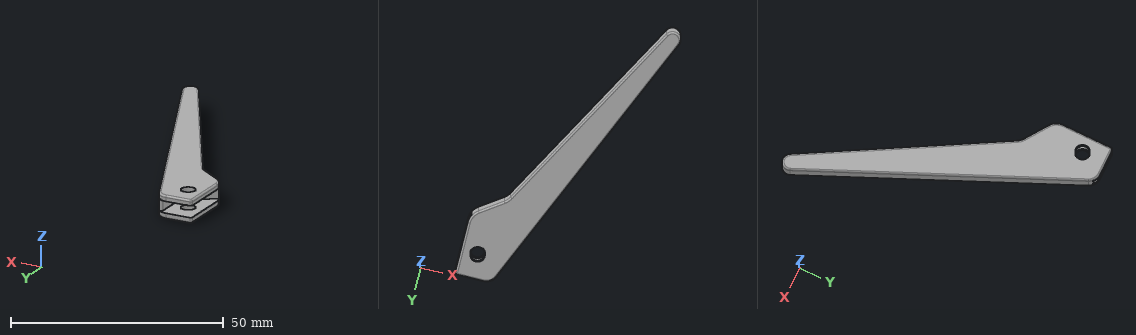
import cadquery as cq
import math

length = 68.75
width = 38.1
thickness = 6.0
edge_radius = 0.5

head_corner = (0.0, 0.0)
shoulder = (8.9, 0.0)
heel = (0.0, -14.9)
neck = (7.8, -20.35)
shoulder_radius = 3.0
heel_radius = 4.0
neck_radius = 4.0

nose_radius = 2.0
nose_center = (width - nose_radius, nose_radius - length)

pivot = (4.05, -6.0)
pivot_diameter = 3.5

slot_height = 2.95
slot_depth = 8.25
slot_mouth = (0.5, -14.65)
slot_wall_angle = 35.0
slot_corner_radius = 2.0
slot_overrun = 3.45


def nose_tangent(point, side):
    """Touching point on the nose of a line from point; side is 1 (right) or -1 (left)."""
    dx = point[0] - nose_center[0]
    dy = point[1] - nose_center[1]
    turn = math.acos(nose_radius / math.hypot(dx, dy))
    angle = math.atan2(dy, dx) - side * turn
    return (
        nose_center[0] + nose_radius * math.cos(angle),
        nose_center[1] + nose_radius * math.sin(angle),
    )


def round_upright(body, corner, radius):
    """Round the vertical edge nearest to a corner of the outline."""
    nearest = cq.selectors.NearestToPointSelector((corner[0], corner[1], 0))
    return body.edges("|Z").edges(nearest).fillet(radius)


def make_lever():
    right_end = nose_tangent(shoulder, 1)
    left_end = nose_tangent(neck, -1)
    lean = math.atan2(left_end[1] + right_end[1] - 2 * nose_center[1],
                      left_end[0] + right_end[0] - 2 * nose_center[0])
    nose_tip = (
        nose_center[0] + nose_radius * math.cos(lean),
        nose_center[1] + nose_radius * math.sin(lean),
    )
    body = (
        cq.Workplane("XY")
        .moveTo(*head_corner)
        .lineTo(*shoulder)
        .lineTo(*right_end)
        .threePointArc(nose_tip, left_end)
        .lineTo(*neck)
        .lineTo(*heel)
        .close()
        .extrude(thickness / 2, both=True)
    )
    rounded_corners = (
        (head_corner, edge_radius),
        (shoulder, shoulder_radius),
        (heel, heel_radius),
        (neck, neck_radius),
    )
    for corner, radius in rounded_corners:
        body = round_upright(body, corner, radius)
    return body.faces("|Z").edges().fillet(edge_radius)


def make_slot():
    slope = math.tan(math.radians(slot_wall_angle))
    inner_corner = (slot_depth, slot_mouth[1] + (slot_depth - slot_mouth[0]) * slope)
    outer_corner = (-slot_overrun, slot_mouth[1] - (slot_mouth[0] + slot_overrun) * slope)
    slot = (
        cq.Workplane("XY")
        .polyline([
            (-slot_overrun, slot_overrun),
            (slot_depth, slot_overrun),
            inner_corner,
            outer_corner,
        ])
        .close()
        .extrude(slot_height / 2, both=True)
    )
    return round_upright(slot, inner_corner, slot_corner_radius)


def round_slot_lip(body):
    """Round the sharp upright edge where the slot's back wall leaves through the shoulder."""
    return round_upright(body, (slot_depth, 0.0), edge_radius)


def make_pivot_hole():
    return cq.Workplane("XY").center(*pivot).circle(pivot_diameter / 2).extrude(thickness, both=True)


result = round_slot_lip(make_lever().cut(make_slot())).cut(make_pivot_hole())